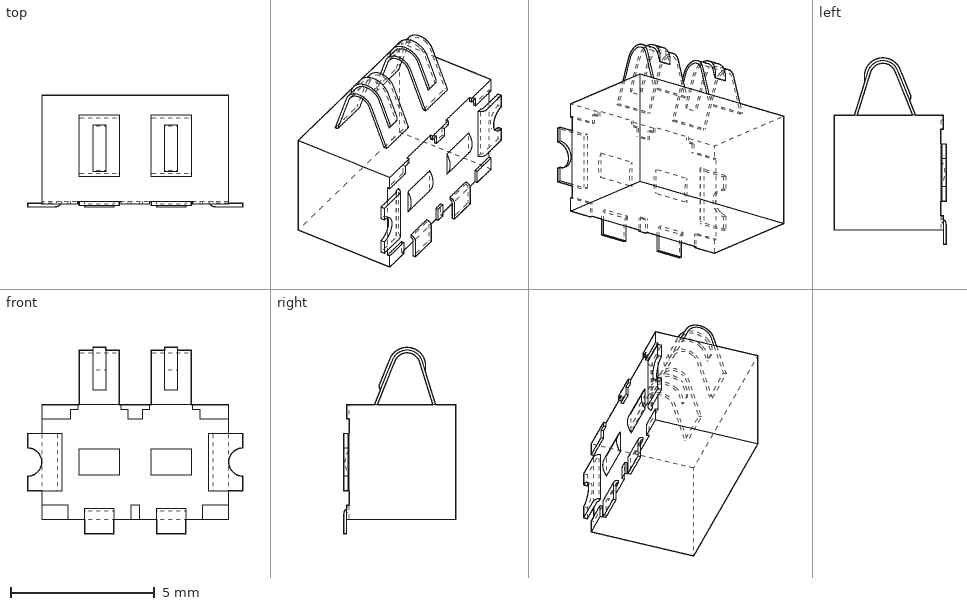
import cadquery as cq
import math


body_width = 6.5
body_depth = 3.8
body_height = 4.0
pad_thickness = 0.09
pad_height = 0.5
front_overhang = 0.1

contact_pitch = 2.5
contact_width = 1.4
contact_centers = (-contact_pitch / 2, contact_pitch / 2)
embed = 0.3

slot_wide = 2.0
slot_clearance = 0.1
slot_narrow = contact_width + slot_clearance
slot_lip_height = 0.17
lower_corner_pad_width = 0.9
lower_middle_pad_width = 0.3

sheet = 0.1
loop_y = 2.105
loop_rise = 1.9
loop_radius = 0.55
loop_z = body_height + loop_rise - loop_radius
front_lean = math.radians(22.0)
back_lean = math.radians(17.3)

strip_width = 0.45
strip_front_rise = 0.71
strip_back_rise = 1.2
strip_front_z = body_height + strip_front_rise
strip_tip_radius = 0.2
strip_back_z = body_height + strip_back_rise

bulge_height = 0.9
bulge_rise = 0.14
bulge_z = body_height / 2

side_tab_thickness = 0.14
side_tab_reach = 3.75
side_tab_bend_x = 2.8
side_tab_bend_radius = 0.25
side_tab_height = 2.0
side_tab_notch_radius = 0.49

lower_tab_width = 1.02
lower_tab_drop = 0.5
lower_tab_bend_z = 0.2
lower_tab_bend_radius = front_overhang + pad_thickness
lower_tab_thickness = 0.1


def block(x_range, y_range, z_range):
    """Box given by its (low, high) limits along each axis."""
    size = [high - low for low, high in (x_range, y_range, z_range)]
    corner = (x_range[0], y_range[0], z_range[0])
    return cq.Workplane("XY").box(*size, centered=False).translate(corner)


def extrude_yz(sketch, width, center_x):
    """Extrude a closed YZ outline symmetrically about the plane X = center_x."""
    return sketch.extrude(width / 2, both=True).translate((center_x, 0, 0))


def polar(radius, angle):
    """Point (y, z) on a circle about the loop axis; angle is measured from +Y."""
    return (loop_y + radius * math.cos(angle), loop_z + radius * math.sin(angle))


def down_leg(start, lean, direction, z):
    """Point (y, z) where a leg leaving start towards direction * Y reaches height z."""
    return (start[0] + direction * (start[1] - z) * math.tan(lean), z)


def make_housing():
    half = body_width / 2
    housing = block((-half, half), (pad_thickness, body_depth), (0, body_height))
    pad_y = (0, pad_thickness + embed)

    for slot_width, height in ((slot_wide, pad_height), (slot_narrow, slot_lip_height)):
        pad_z = (body_height - height, body_height)
        inner = contact_pitch / 2 - slot_width / 2
        outer = contact_pitch / 2 + slot_width / 2
        for x_range in ((-half, -outer), (-inner, inner), (outer, half)):
            housing = housing.union(block(x_range, pad_y, pad_z))

    corner_start = half - lower_corner_pad_width
    middle = lower_middle_pad_width / 2
    for x_range in ((-half, -corner_start), (-middle, middle), (corner_start, half)):
        housing = housing.union(block(x_range, pad_y, (0, pad_height)))
    return housing


def make_loop(center_x):
    front = math.pi - front_lean
    back = back_lean
    top = math.pi / 2
    inner_radius = loop_radius - sheet
    foot_z = body_height - embed
    outer_front = polar(loop_radius, front)
    outer_back = polar(loop_radius, back)
    inner_front = polar(inner_radius, front)
    inner_back = polar(inner_radius, back)
    outline = (
        cq.Workplane("YZ")
        .moveTo(*down_leg(outer_front, front_lean, -1, foot_z))
        .lineTo(*outer_front)
        .threePointArc(polar(loop_radius, top), outer_back)
        .lineTo(*down_leg(outer_back, back_lean, 1, foot_z))
        .lineTo(*down_leg(inner_back, back_lean, 1, foot_z))
        .lineTo(*inner_back)
        .threePointArc(polar(inner_radius, top), inner_front)
        .lineTo(*down_leg(inner_front, front_lean, -1, foot_z))
        .close()
    )
    return extrude_yz(outline, contact_width, center_x)


def make_strip(center_x):
    """Strip over the loop; its underside runs along the middle of the loop sheet."""
    front = math.pi - front_lean
    top = math.pi / 2
    outer_radius = loop_radius + sheet
    inner_radius = loop_radius - sheet / 2
    outer_front = polar(outer_radius, front)
    inner_front = polar(inner_radius, front)
    inner_back = polar(inner_radius, back_lean)

    tip_start = down_leg(outer_front, front_lean, -1, strip_front_z)
    inward = (math.cos(front_lean), -math.sin(front_lean))
    along = (-math.sin(front_lean), -math.cos(front_lean))

    def tip_point(sweep):
        drop = strip_tip_radius * (1 - math.cos(sweep))
        run = strip_tip_radius * math.sin(sweep)
        return tuple(tip_start[i] + inward[i] * drop + along[i] * run for i in range(2))

    tip_sweep = math.acos(1 - sheet / strip_tip_radius)
    tip_end = tip_point(tip_sweep)
    tip_inside = tuple(tip_end[i] + inward[i] * sheet / 2 for i in range(2))
    outline = (
        cq.Workplane("YZ")
        .moveTo(*tip_inside)
        .lineTo(*tip_end)
        .threePointArc(tip_point(tip_sweep / 2), tip_start)
        .lineTo(*outer_front)
        .threePointArc(polar(outer_radius, top), polar(outer_radius, 0))
        .lineTo(loop_y + outer_radius, strip_back_z)
        .lineTo(*down_leg(inner_back, back_lean, 1, strip_back_z))
        .lineTo(*inner_back)
        .threePointArc(polar(inner_radius, top), inner_front)
        .close()
    )
    return extrude_yz(outline, strip_width, center_x)


def make_bulge(center_x):
    low = bulge_z - bulge_height / 2
    high = bulge_z + bulge_height / 2
    outline = (
        cq.Workplane("YZ")
        .moveTo(pad_thickness + embed, low)
        .lineTo(pad_thickness, low)
        .threePointArc((pad_thickness - bulge_rise, bulge_z), (pad_thickness, high))
        .lineTo(pad_thickness + embed, high)
        .close()
    )
    return extrude_yz(outline, contact_width, center_x)


def bent_tab(plane, free_end, bend_start, outer_radius, thickness):
    """Outline of a flat tab that turns through a quarter bend into the housing.

    The first plane coordinate runs along the tab and the second is Y.
    """
    outer_y = -front_overhang
    inner_y = outer_y + thickness
    inner_radius = outer_radius - thickness
    axis_y = outer_y + outer_radius
    root_y = axis_y + embed
    mid = math.sqrt(0.5)
    return (
        plane.moveTo(free_end, outer_y)
        .lineTo(bend_start, outer_y)
        .threePointArc(
            (bend_start + outer_radius * mid, axis_y - outer_radius * mid),
            (bend_start + outer_radius, axis_y),
        )
        .lineTo(bend_start + outer_radius, root_y)
        .lineTo(bend_start + inner_radius, root_y)
        .lineTo(bend_start + inner_radius, axis_y)
        .threePointArc(
            (bend_start + inner_radius * mid, axis_y - inner_radius * mid),
            (bend_start, inner_y),
        )
        .lineTo(free_end, inner_y)
        .close()
    )


def make_left_tab():
    low = (body_height - side_tab_height) / 2
    tab = bent_tab(
        cq.Workplane("XY"), -side_tab_reach, -side_tab_bend_x, side_tab_bend_radius, side_tab_thickness
    ).extrude(side_tab_height)
    notch = (
        cq.Workplane("XZ")
        .center(-side_tab_reach, side_tab_height / 2)
        .circle(side_tab_notch_radius)
        .extrude(side_tab_thickness, both=True)
    )
    return tab.cut(notch).translate((0, 0, low))


def make_lower_tab(center_x):
    plane = cq.Workplane(cq.Plane(origin=(0, 0, 0), xDir=(0, 0, 1), normal=(-1, 0, 0)))
    outline = bent_tab(
        plane, -lower_tab_drop, lower_tab_bend_z, lower_tab_bend_radius, lower_tab_thickness
    )
    return extrude_yz(outline, lower_tab_width, center_x)


result = make_housing()
for contact_x in contact_centers:
    for make_feature in (make_loop, make_strip, make_bulge, make_lower_tab):
        result = result.union(make_feature(contact_x))

left_tab = make_left_tab()
result = result.union(left_tab).union(left_tab.mirror("YZ"))